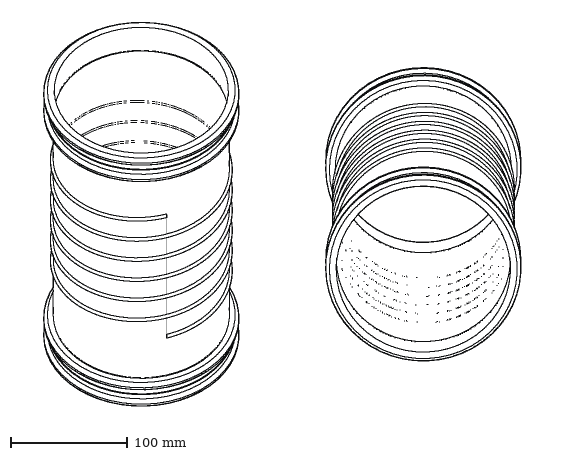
import cadquery as cq

TOTAL_LENGTH = 308.8
BORE_RADIUS = 150.0 / 2
TUBE_RADIUS = 152.0 / 2

COLLAR_HEIGHT = 29.3
COLLAR_CORE_RADIUS = 161.8 / 2
COLLAR_RIM_RADIUS = 168.3 / 2
RIM_LAND = 2.5
RIM_FLANK = COLLAR_RIM_RADIUS - COLLAR_CORE_RADIUS
RIM_HEIGHT = RIM_LAND + 2 * RIM_FLANK
BEAD_SIZE = 0.45

RIB_PITCH = 25.0
RIB_TURNS = 6
RIB_RADIUS = 1.5
RIB_PATH_RADIUS = 77.0

TUBE_LENGTH = TOTAL_LENGTH - 2 * COLLAR_HEIGHT
RIB_LENGTH = RIB_PITCH * RIB_TURNS
RIB_START = (TOTAL_LENGTH - RIB_LENGTH) / 2


def make_collar(bottom):
    """Collar with a bevelled rim at each end and a fine pointed bead midway."""
    top = bottom + COLLAR_HEIGHT
    middle = bottom + COLLAR_HEIGHT / 2
    profile = [
        (BORE_RADIUS, bottom),
        (COLLAR_CORE_RADIUS, bottom),
        (COLLAR_RIM_RADIUS, bottom + RIM_FLANK),
        (COLLAR_RIM_RADIUS, bottom + RIM_FLANK + RIM_LAND),
        (COLLAR_CORE_RADIUS, bottom + RIM_HEIGHT),
        (COLLAR_CORE_RADIUS, middle - BEAD_SIZE),
        (COLLAR_CORE_RADIUS + BEAD_SIZE, middle),
        (COLLAR_CORE_RADIUS, middle + BEAD_SIZE),
        (COLLAR_CORE_RADIUS, top - RIM_HEIGHT),
        (COLLAR_RIM_RADIUS, top - RIM_FLANK - RIM_LAND),
        (COLLAR_RIM_RADIUS, top - RIM_FLANK),
        (COLLAR_CORE_RADIUS, top),
        (BORE_RADIUS, top),
    ]
    return cq.Workplane("XZ").polyline(profile).close().revolve(360, (0, 0), (0, 1))


def make_tube_wall():
    """Plain thin tube filling the length between the collars."""
    return (
        cq.Workplane("XY", origin=(0, 0, COLLAR_HEIGHT))
        .circle(TUBE_RADIUS)
        .circle(BORE_RADIUS)
        .extrude(TUBE_LENGTH)
    )


def make_helical_rib():
    """Right-handed rib that starts and ends on the +X side."""
    path = cq.Wire.makeHelix(RIB_PITCH, RIB_LENGTH, RIB_PATH_RADIUS, cq.Vector(0, 0, RIB_START))
    return (
        cq.Workplane("XZ")
        .center(RIB_PATH_RADIUS, RIB_START)
        .circle(RIB_RADIUS)
        .sweep(cq.Workplane(path), isFrenet=True)
    )


def make_tube():
    """Thin tube held end to end between the collars, with its helical rib."""
    return make_tube_wall().union(make_helical_rib())


tube = make_tube()
collars = [make_collar(bottom) for bottom in (0, TOTAL_LENGTH - COLLAR_HEIGHT)]

result = cq.Compound.makeCompound([*tube.solids().vals(), *[collar.val() for collar in collars]])